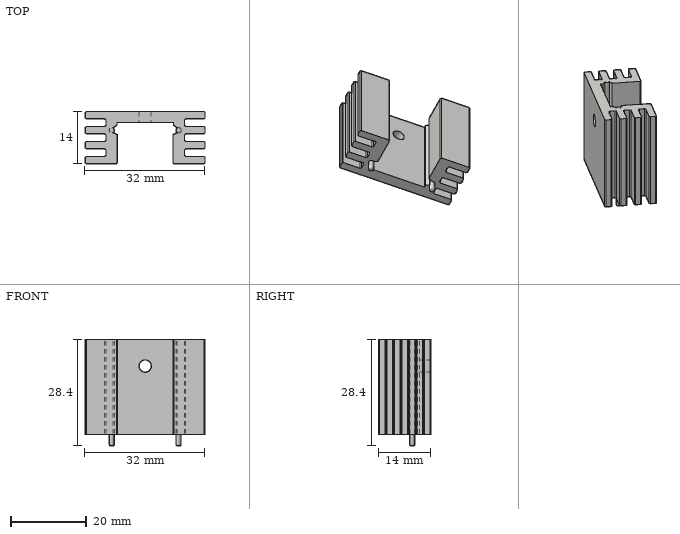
import cadquery as cq
import math

WIDTH = 32.0
HEIGHT = 25.4
FIN_COUNT = 4
FIN_THICKNESS = 2.0
FIN_GAP = 2.0
FIN_LENGTH = 5.5
DEPTH = FIN_COUNT * FIN_THICKNESS + (FIN_COUNT - 1) * FIN_GAP
PLATE_THICKNESS = 3.0
CORNER_CHAMFER = 0.3

LEG_HALF_OPENING = 7.4
RECESS_HALF_WIDTH = 7.5
RECESS_END = 3.65
LEG_WALL_START = 6.15

PIN_DIAMETER = 1.4
PIN_SPACING = 17.78
PIN_FROM_BACK = 5.0
PIN_PROJECTION = 3.0
PIN_TIP_RADIUS = 0.4
GROOVE_MOUTH_INSET = 0.35
GROOVE_MOUTH_HALF = math.sqrt((PIN_DIAMETER / 2) ** 2 - GROOVE_MOUTH_INSET**2)

HOLE_DIAMETER = 3.2
HOLE_FROM_TOP = 7.1

BACK_Y = DEPTH / 2
PIN_X = PIN_SPACING / 2
PIN_Y = BACK_Y - PIN_FROM_BACK


def make_blank():
    """Plain block with its four upright corners broken."""
    block = cq.Workplane("XY").box(WIDTH, DEPTH, HEIGHT, centered=(True, True, False))
    return block.edges("|Z").chamfer(CORNER_CHAMFER)


def make_fin_slot(side, slot_index):
    """Gap between two fins, with broken corners at its floor and its mouth."""
    c = CORNER_CHAMFER
    mouth_x = WIDTH / 2
    floor_x = mouth_x - FIN_LENGTH
    upper_y = BACK_Y - FIN_THICKNESS - slot_index * (FIN_THICKNESS + FIN_GAP)
    lower_y = upper_y - FIN_GAP
    outline = [
        (mouth_x, upper_y + c),
        (mouth_x - c, upper_y),
        (floor_x + c, upper_y),
        (floor_x, upper_y - c),
        (floor_x, lower_y + c),
        (floor_x + c, lower_y),
        (mouth_x - c, lower_y),
        (mouth_x, lower_y - c),
    ]
    points = [(side * x, y) for x, y in outline]
    return cq.Workplane("XY").polyline(points).close().extrude(HEIGHT)


def make_half_channel(side):
    """One half of the channel, flaring towards the pin and at its open front."""
    mouth_x = PIN_X - GROOVE_MOUTH_INSET
    outline = [
        (0, BACK_Y - PLATE_THICKNESS),
        (RECESS_HALF_WIDTH, BACK_Y - PLATE_THICKNESS),
        (RECESS_HALF_WIDTH, BACK_Y - RECESS_END),
        (mouth_x, PIN_Y + GROOVE_MOUTH_HALF),
        (mouth_x, PIN_Y - GROOVE_MOUTH_HALF),
        (LEG_HALF_OPENING, BACK_Y - LEG_WALL_START),
        (LEG_HALF_OPENING, -BACK_Y + CORNER_CHAMFER),
        (LEG_HALF_OPENING + CORNER_CHAMFER, -BACK_Y),
        (0, -BACK_Y),
    ]
    points = [(side * x, y) for x, y in outline]
    return cq.Workplane("XY").polyline(points).close().extrude(HEIGHT)


def make_mounting_hole():
    """Cutter along Y through the back plate."""
    plane = cq.Workplane("XZ", origin=(0, BACK_Y, HEIGHT - HOLE_FROM_TOP))
    return plane.circle(HOLE_DIAMETER / 2).extrude(PLATE_THICKNESS)


def make_pin(side):
    """Pin flush with the top of the body and projecting below it."""
    plane = cq.Workplane("XY", origin=(side * PIN_X, PIN_Y, -PIN_PROJECTION))
    pin = plane.circle(PIN_DIAMETER / 2).extrude(HEIGHT + PIN_PROJECTION)
    return pin.faces("<Z").edges().fillet(PIN_TIP_RADIUS)


body = make_blank()
for side in (-1, 1):
    body = body.cut(make_half_channel(side))
    for slot_index in range(FIN_COUNT - 1):
        body = body.cut(make_fin_slot(side, slot_index))
body = body.cut(make_mounting_hole())

for side in (-1, 1):
    pin = make_pin(side)
    body = body.cut(pin, clean=False).union(pin, clean=False)

result = body